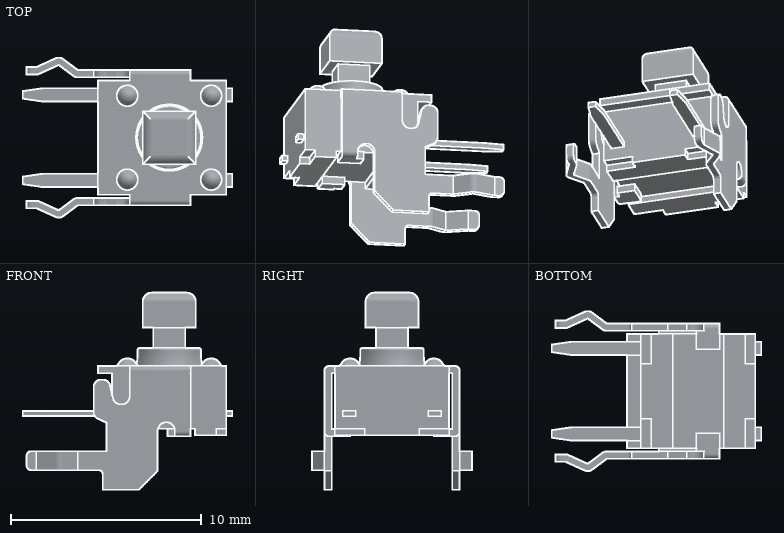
import cadquery as cq
import math


total_width = 8.4
total_height = 10.35

sheet = 0.4
body_half = 3.0
body_bottom = -3.3
cover_overhang = 0.74
bend_radius = 0.25

pad_height = 0.35
pad_length = 1.66
pad_corner_x = 0.53
pad_center_half_y = 1.44

collar_radius = 1.67
collar_foot_radius = 3.5 / 2
collar_flare_radius = 5.0 / 2
collar_height = 0.95
collar_round = 0.13
stem_width = 1.69
cap_width = 2.79
cap_bottom = 2.01
cap_top = 3.85
cap_round = 0.5

rivet_pitch = 4.4
rivet_radius = 0.55
rivet_height = 0.4
rivet_shoulder = (0.34, 0.28)
rivet_base_slope = 1.6

pin_length = 11.0
pin_end_x = 3.31
pin_tip_x = pin_end_x - pin_length
pin_spacing = 4.49
pin_width = 0.7
pin_tip_width = 0.41
pin_taper_length = 1.02
pin_thickness = 0.29
pin_center_z = -2.5

bracket_outer_y = 3.55
bracket_inner_y = bracket_outer_y - sheet
wing_left_x = -2.08
wing_right_x = 1.12
bracket_bottom = cap_top - total_height
foot_left_x = -3.5
foot_right_x = -0.6
foot_chamfer = 0.99
neck_x = -3.3
tongue_left_x = -3.97
tongue_top = -0.72
slot_bottom = -2.01
tongue_round = 0.4
round_flat = 0.09
shoulder_z = -2.67
shoulder_end_z = -2.98
relief_radius = 0.45
relief_z = -3.41
tab_left_x = -0.1
tab_end_y = 2.2

arm_top = -4.47
arm_bottom = -5.48
arm_root_x = -4.4
arm_tip_x = -7.49
arm_tip_round = 0.26
arm_fillet = 0.2
arm_bend_x = -4.8
arm_crest_x = -5.8
arm_tip_bend_x = -6.89
arm_crest_y = total_width / 2 - sheet
arm_tip_y = 3.31


def box(x0, x1, y0, y1, z0, z1):
    return cq.Workplane("XY").box(x1 - x0, y1 - y0, z1 - z0, centered=False).translate((x0, y0, z0))


def polar(center, radius, angle):
    return (center[0] + radius * math.cos(angle), center[1] + radius * math.sin(angle))


def housing():
    body = box(-body_half, body_half, -body_half, body_half, body_bottom, 0)
    pad_bottom = body_bottom - pad_height
    inner_x = body_half - pad_length
    corner_x = body_half - pad_corner_x
    wide = box(inner_x, corner_x, -body_half, body_half, pad_bottom, body_bottom)
    narrow = box(inner_x, body_half, -pad_center_half_y, pad_center_half_y, pad_bottom, body_bottom)
    pad = wide.union(narrow)
    return body.union(pad).union(pad.mirror("YZ"))


def cover():
    plate = box(-body_half - cover_overhang, body_half, -body_half, body_half, -sheet, 0)
    wings = box(wing_left_x, wing_right_x, -bracket_outer_y, bracket_outer_y, -sheet, 0)
    wings = wings.edges("|X and >Z").fillet(bend_radius)
    return plate.union(wings)


def button():
    round_start = collar_height - collar_round
    collar = (
        cq.Workplane("XZ")
        .lineTo(collar_foot_radius, 0)
        .radiusArc((collar_radius, round_start), collar_flare_radius)
        .radiusArc((collar_radius - collar_round, collar_height), -collar_round)
        .lineTo(0, collar_height)
        .close()
        .revolve(360, (0, 0), (0, 1))
    )
    stem_half = stem_width / 2
    cap_half = cap_width / 2
    stem = box(-stem_half, stem_half, -stem_half, stem_half, 0, cap_bottom)
    cap = box(-cap_half, cap_half, -cap_half, cap_half, cap_bottom, cap_top)
    cap = cap.faces(">Z").edges().fillet(cap_round)
    return collar.union(stem).union(cap)


def rivet_head():
    curve_points = [rivet_shoulder, (0, rivet_height)]
    end_tangents = [(-1, rivet_base_slope), (-1, 0)]
    return (
        cq.Workplane("XZ")
        .lineTo(rivet_radius, 0)
        .spline(curve_points, tangents=end_tangents, includeCurrent=True)
        .close()
        .revolve(360, (0, 0), (0, 1))
    )


def pin():
    half = pin_width / 2
    tip_half = pin_tip_width / 2
    taper_x = pin_tip_x + pin_taper_length
    outline = [
        (pin_end_x, -half), (pin_end_x, half), (taper_x, half),
        (pin_tip_x, tip_half), (pin_tip_x, -tip_half), (taper_x, -half),
    ]
    blank = cq.Workplane("XY").polyline(outline).close().extrude(pin_thickness)
    return blank.translate((0, 0, pin_center_z - pin_thickness / 2))


def bracket_plate():
    r = tongue_round
    tongue_z = tongue_top - r
    tongue_a = (tongue_left_x + r, tongue_z)
    tongue_b = (tongue_a[0] + round_flat, tongue_z)
    slot_z = slot_bottom + r
    slot_b = (wing_left_x - r, slot_z)
    slot_a = (slot_b[0] - round_flat, slot_z)

    dx = slot_a[0] - tongue_b[0]
    dz = slot_a[1] - tongue_b[1]
    normal = math.atan2(dz, dx) + math.acos(2 * r / math.hypot(dx, dz))

    slope = math.atan2(shoulder_z - shoulder_end_z, neck_x - tongue_left_x)
    setback = r * math.tan((math.pi / 2 - slope) / 2)
    shoulder_start = (tongue_left_x, shoulder_z + setback)
    shoulder_finish = polar((tongue_left_x, shoulder_z), setback, -slope)

    relief_x = foot_right_x + relief_radius
    tab_bottom = body_bottom - sheet

    plate = (
        cq.Workplane("XZ", origin=(0, -bracket_inner_y, 0))
        .moveTo(wing_right_x, -bend_radius)
        .lineTo(wing_left_x, -bend_radius)
        .lineTo(wing_left_x, slot_z)
        .radiusArc((slot_b[0], slot_bottom), r)
        .lineTo(slot_a[0], slot_bottom)
        .radiusArc(polar(slot_a, r, normal + math.pi), r)
        .lineTo(*polar(tongue_b, r, normal))
        .radiusArc((tongue_b[0], tongue_top), -r)
        .lineTo(tongue_a[0], tongue_top)
        .radiusArc((tongue_left_x, tongue_z), -r)
        .lineTo(*shoulder_start)
        .radiusArc(shoulder_finish, -r)
        .lineTo(neck_x, shoulder_end_z)
        .lineTo(neck_x, arm_top)
        .lineTo(arm_root_x, arm_top)
        .lineTo(arm_root_x, arm_bottom)
        .lineTo(foot_left_x - arm_fillet, arm_bottom)
        .radiusArc((foot_left_x, arm_bottom - arm_fillet), arm_fillet)
        .lineTo(foot_left_x, bracket_bottom)
        .lineTo(foot_right_x - foot_chamfer, bracket_bottom)
        .lineTo(foot_right_x, bracket_bottom + foot_chamfer)
        .lineTo(foot_right_x, relief_z)
        .threePointArc((relief_x, relief_z + relief_radius), (relief_x + relief_radius, relief_z))
        .lineTo(relief_x + relief_radius, tab_bottom)
        .lineTo(wing_right_x, tab_bottom)
        .close()
        .extrude(sheet)
    )
    fold_middle = ((relief_x + relief_radius + wing_right_x) / 2, -bracket_outer_y, tab_bottom)
    plate = plate.edges(cq.selectors.NearestToPointSelector(fold_middle)).fillet(bend_radius)
    tab = box(tab_left_x, wing_right_x, -bracket_inner_y, -tab_end_y, tab_bottom, body_bottom)
    return plate.union(tab)


def spring_arm():
    rise_dx = arm_bend_x - arm_crest_x
    rise_dy = arm_crest_y - bracket_outer_y
    rise = math.atan2(rise_dy, rise_dx) + math.asin(sheet / math.hypot(rise_dx, rise_dy))
    fall = math.atan2(arm_crest_y - arm_tip_y, arm_crest_x - arm_tip_bend_x)
    bend = (arm_bend_x, -bracket_outer_y)
    crest = (arm_crest_x, -arm_crest_y)
    up = math.pi / 2
    down = -up
    arm = (
        cq.Workplane("XY", origin=(0, 0, arm_bottom))
        .moveTo(arm_root_x, -bracket_inner_y)
        .lineTo(arm_bend_x, -bracket_inner_y)
        .radiusArc(polar(bend, sheet, up + rise), -sheet)
        .lineTo(*crest)
        .lineTo(arm_tip_bend_x, -arm_tip_y)
        .lineTo(arm_tip_x, -arm_tip_y)
        .lineTo(arm_tip_x, -arm_tip_y - sheet)
        .lineTo(arm_tip_bend_x - sheet * math.tan(fall / 2), -arm_tip_y - sheet)
        .lineTo(*polar(crest, sheet, down - fall))
        .threePointArc(polar(crest, sheet, down), polar(crest, sheet, down + rise))
        .lineTo(*bend)
        .lineTo(arm_root_x, -bracket_outer_y)
        .close()
        .extrude(arm_top - arm_bottom)
    )
    return arm.faces("<X").edges("|Y").fillet(arm_tip_round)


result = housing().union(cover()).union(button())

head = rivet_head()
for x in (-rivet_pitch / 2, rivet_pitch / 2):
    for y in (-rivet_pitch / 2, rivet_pitch / 2):
        result = result.union(head.translate((x, y, 0)))

for y in (-pin_spacing / 2, pin_spacing / 2):
    result = result.union(pin().translate((0, y, 0)))

bracket = bracket_plate().union(spring_arm())
result = result.union(bracket).union(bracket.mirror("XZ"))